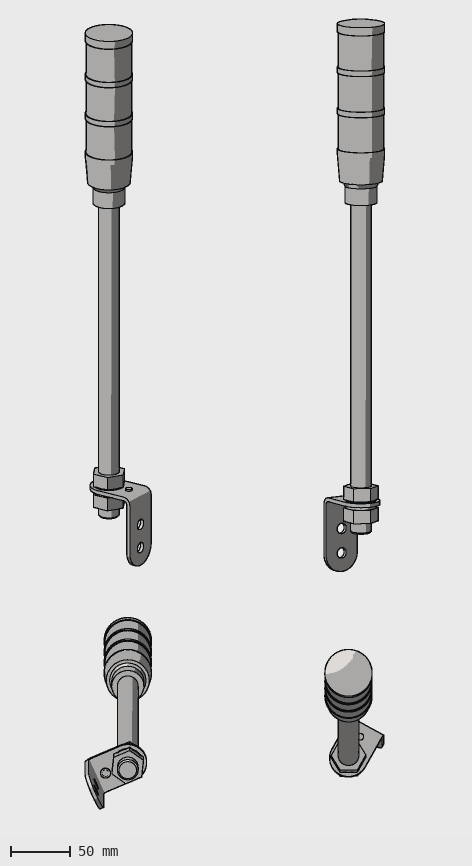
import cadquery as cq
import math

total_height = 473.5
lamp_radius = 20.0
lens_diameter = 38.5
bracket_reach = 32.0

dome_height = 3.0
rim_z = total_height - dome_height
cap_bottom = 463.5
ring_height = 4.5
ring_bottoms = (429.0, 394.0, 359.5)
base_bottom = 336.5
base_bottom_radius = 18.0
collar_diameter = 27.0
collar_flare_radius = 15.0
collar_top = 332.5
collar_bottom = 318.0

pole_diameter = 17.5
pole_bottom = 37.5
pole_chamfer = 1.5

sheet = 3.5
bracket_width = 31.5
bracket_end_radius = bracket_width / 2
bracket_top = 65.0
bend_radius = 6.5
screw_hole_diameter = 9.0
screw_hole_spacing = 21.0

nut_flats = 25.0
nut_height = 11.5
washer_radius = nut_flats / 2
upper_washer_height = 1.0
lower_washer_height = 3.0
rivet_x = 20.5
rivet_radius = 3.0
rivet_flange_radius = 4.3
rivet_flange_height = 1.0
rivet_projection = 1.5


def cylinder(radius, bottom, top):
    """Upright cylinder on the pole axis."""
    return cq.Workplane("XY", origin=(0, 0, bottom)).circle(radius).extrude(top - bottom)


def make_lamp():
    """Domed lens stack, tapered base and collar, turned about Z."""
    lowest_ring = ring_bottoms[-1]
    dome_sphere_radius = (lamp_radius**2 + dome_height**2) / (2 * dome_height)
    half_dome_x = lamp_radius / 2
    half_dome_z = total_height - dome_sphere_radius + math.sqrt(dome_sphere_radius**2 - half_dome_x**2)
    lamp = (
        cq.Workplane("XZ")
        .moveTo(0, collar_bottom)
        .lineTo(collar_diameter / 2, collar_bottom)
        .lineTo(collar_diameter / 2, collar_top)
        .lineTo(collar_flare_radius, base_bottom)
        .lineTo(base_bottom_radius, base_bottom)
        .lineTo(lamp_radius, lowest_ring)
        .lineTo(lens_diameter / 2, lowest_ring)
        .lineTo(lens_diameter / 2, cap_bottom)
        .lineTo(lamp_radius, cap_bottom)
        .lineTo(lamp_radius, rim_z)
        .threePointArc((half_dome_x, half_dome_z), (0, total_height))
        .close()
        .revolve(360, (0, 0, 0), (0, 1, 0))
    )
    for bottom in ring_bottoms:
        lamp = lamp.union(cylinder(lamp_radius, bottom, bottom + ring_height))
    return lamp


def make_pole():
    """Straight pole with a chamfered lower end."""
    pole = cylinder(pole_diameter / 2, pole_bottom, collar_bottom)
    return pole.faces("<Z").chamfer(pole_chamfer)


def make_bracket():
    """Bent sheet bracket with rounded free ends and two screw holes."""
    shelf = (
        cq.Workplane("XY", origin=(0, 0, bracket_top - sheet))
        .rect(2 * bracket_reach, bracket_width)
        .extrude(sheet)
        .intersect(
            cylinder(bracket_end_radius, 0, bracket_top).union(
                cq.Workplane("XY").box(
                    bracket_reach, bracket_width, bracket_top, centered=(False, True, False)
                )
            )
        )
    )
    leg_length = bracket_top - bracket_end_radius
    leg = (
        cq.Workplane("YZ", origin=(bracket_reach - sheet, 0, 0))
        .moveTo(-bracket_end_radius, bracket_end_radius)
        .threePointArc((0, 0), (bracket_end_radius, bracket_end_radius))
        .vLine(leg_length)
        .hLine(-bracket_width)
        .close()
        .extrude(sheet)
    )
    bracket = shelf.union(leg)
    bracket = bracket.edges("|Y and >X and >Z").fillet(bend_radius)
    inner_corner = cq.selectors.NearestToPointSelector((bracket_reach - sheet, 0, bracket_top - sheet))
    bracket = bracket.edges("|Y").edges(inner_corner).fillet(bend_radius - sheet)
    for level in range(2):
        hole_z = bracket_end_radius + level * screw_hole_spacing
        hole = (
            cq.Workplane("YZ", origin=(bracket_reach - sheet, 0, hole_z))
            .circle(screw_hole_diameter / 2)
            .extrude(sheet)
        )
        bracket = bracket.cut(hole)
    return bracket


def make_nut(bottom):
    """Hexagonal nut with two corners on the X axis."""
    corner_diameter = nut_flats / (math.sqrt(3) / 2)
    return cq.Workplane("XY", origin=(0, 0, bottom)).polygon(6, corner_diameter).extrude(nut_height)


def make_clamp():
    """Nuts and washers holding the bracket shelf from both sides."""
    shelf_bottom = bracket_top - sheet
    upper_washer = cylinder(washer_radius, bracket_top, bracket_top + upper_washer_height)
    lower_washer = cylinder(washer_radius, shelf_bottom - lower_washer_height, shelf_bottom)
    upper_nut = make_nut(bracket_top + upper_washer_height)
    lower_nut = make_nut(shelf_bottom - lower_washer_height - nut_height)
    return upper_nut.union(upper_washer).union(lower_washer).union(lower_nut)


def make_rivet():
    """Small rivet through the shelf, ending in a flange level with the lower washer."""
    rivet_top = bracket_top + rivet_projection
    flange_bottom = bracket_top - sheet - lower_washer_height
    flange_top = flange_bottom + rivet_flange_height
    shank = cylinder(rivet_radius, flange_bottom, rivet_top)
    flange = cylinder(rivet_flange_radius, flange_bottom, flange_top)
    return shank.union(flange).translate((rivet_x, 0, 0))


result = make_lamp().union(make_pole()).union(make_bracket()).union(make_clamp()).union(make_rivet())